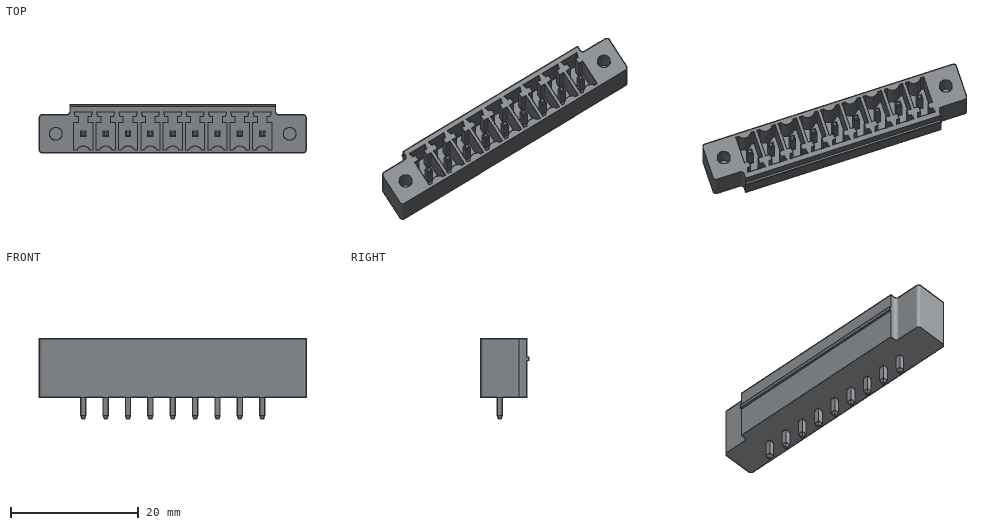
import cadquery as cq

POLES = 9
PITCH = 3.5
PIN_WIDTH = 0.84
PIN_TIP_WIDTH = 0.44
PIN_TAPER = 0.6
PIN_TAIL = 3.4
PIN_TOP_Z = 7.8

BODY_HEIGHT = 9.2
FRONT_Y = -3.0
BACK_Y = 4.25
WING_BACK_Y = 3.0
LENGTH = 41.8
CENTRE_LENGTH = 32.2
CORNER_RADIUS = 0.5

RIB_DEPTH = 0.3
RIB_HEIGHT = 0.6
RIB_Z = 6.05

POCKET_FLOOR_Z = 1.5
POCKET_WIDTH = 3.0
POCKET_FRONT_Y = -2.5
POCKET_SHOULDER_Y = 1.8
NECK_WIDTH = 1.5
NECK_BACK_Y = 2.7
DOVETAIL_FRONT_WIDTH = 2.5
DOVETAIL_BACK_WIDTH = 2.9
DOVETAIL_BACK_Y = 3.45
BUMP_BASE_WIDTH = 2.0
BUMP_HEIGHT = 0.58

SCREW_HOLE_DIAMETER = 2.0
SCREW_HOLE_DEPTH = 6.0
SCREW_HOLE_SPACING = 36.6


def mirrored_outline(right_side):
    """Closed outline from its right half, which is listed front to back."""
    left_side = [(-x, y) for x, y in reversed(right_side)]
    return cq.Workplane("XY").polyline(right_side + left_side).close()


def make_housing():
    right_side = [
        (LENGTH / 2, FRONT_Y),
        (LENGTH / 2, WING_BACK_Y),
        (CENTRE_LENGTH / 2, WING_BACK_Y),
        (CENTRE_LENGTH / 2, BACK_Y),
    ]
    body = mirrored_outline(right_side).extrude(BODY_HEIGHT)
    rounded_edges = cq.selectors.BoxSelector(
        (-LENGTH, FRONT_Y - CORNER_RADIUS, 0),
        (LENGTH, (WING_BACK_Y + BACK_Y) / 2, BODY_HEIGHT),
    )
    body = body.edges("|Z").edges(rounded_edges).fillet(CORNER_RADIUS)
    rib = cq.Workplane("XY").box(CENTRE_LENGTH, 2 * RIB_DEPTH, RIB_HEIGHT)
    return body.union(rib.translate((0, BACK_Y, RIB_Z)))


def make_pocket():
    """Cavity with a dovetail keyway at the back and a rounded bump at the front."""
    right_side = [
        (BUMP_BASE_WIDTH / 2, POCKET_FRONT_Y),
        (POCKET_WIDTH / 2, POCKET_FRONT_Y),
        (POCKET_WIDTH / 2, POCKET_SHOULDER_Y),
        (NECK_WIDTH / 2, POCKET_SHOULDER_Y),
        (NECK_WIDTH / 2, NECK_BACK_Y),
        (DOVETAIL_FRONT_WIDTH / 2, NECK_BACK_Y),
        (DOVETAIL_BACK_WIDTH / 2, DOVETAIL_BACK_Y),
    ]
    left_side = [(-x, y) for x, y in reversed(right_side)]
    walls = cq.Workplane("XY", origin=(0, 0, POCKET_FLOOR_Z)).polyline(right_side + left_side)
    bump_peak = (0, POCKET_FRONT_Y + BUMP_HEIGHT)
    outline = walls.threePointArc(bump_peak, right_side[0]).close()
    return outline.extrude(BODY_HEIGHT - POCKET_FLOOR_Z)


def make_pin():
    """Square pin, tapered at both ends."""
    shank_bottom = PIN_TAPER - PIN_TAIL
    shank_top = PIN_TOP_Z - PIN_TAPER
    shank = cq.Workplane("XY", origin=(0, 0, shank_bottom)).rect(PIN_WIDTH, PIN_WIDTH)
    pin = shank.extrude(shank_top - shank_bottom)
    for face in (">Z", "<Z"):
        tip = pin.faces(face).workplane().rect(PIN_WIDTH, PIN_WIDTH).workplane(offset=PIN_TAPER)
        pin = tip.rect(PIN_TIP_WIDTH, PIN_TIP_WIDTH).loft(combine=True)
    return pin


def make_screw_hole():
    top = cq.Workplane("XY", origin=(0, 0, BODY_HEIGHT))
    return top.circle(SCREW_HOLE_DIAMETER / 2).extrude(-SCREW_HOLE_DEPTH)


pocket = make_pocket()
pin = make_pin()
screw_hole = make_screw_hole()

result = make_housing()
for side in (-1, 1):
    result = result.cut(screw_hole.translate((side * SCREW_HOLE_SPACING / 2, 0, 0)))
for pole in range(POLES):
    pole_x = (pole - (POLES - 1) / 2) * PITCH
    result = result.cut(pocket.translate((pole_x, 0, 0)))
    result = result.union(pin.translate((pole_x, 0, 0)))